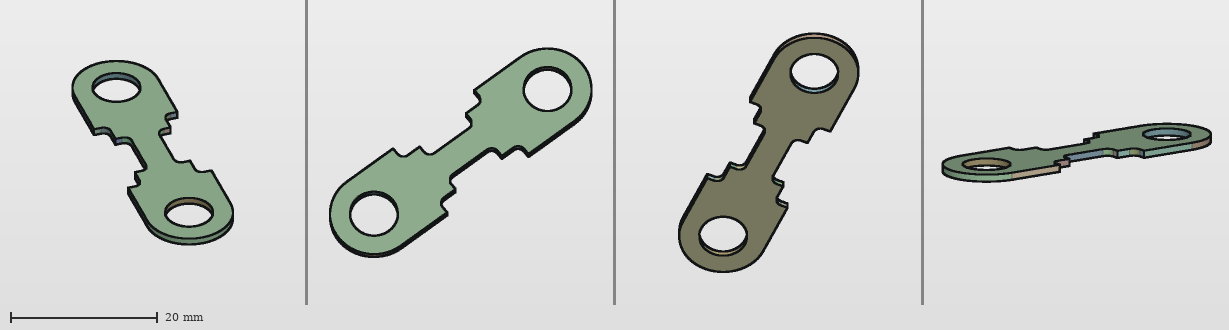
import cadquery as cq

length = 42.0
width = 12.0
thickness = 1.0

hole_diameter = 6.5
hole_spacing = length - width

outer_notch_half_length = 7.0
outer_notch_half_width = 4.0
inner_notch_half_length = 4.0
neck_half_width = 2.0
corner_radius = 1.0


def make_plate():
    """Flat plate with full-round ends and an eyelet in each end."""
    plate = cq.Workplane("XY").slot2D(length, width).extrude(thickness)
    eyelets = (
        cq.Workplane("XY")
        .pushPoints([(-hole_spacing / 2, 0), (hole_spacing / 2, 0)])
        .circle(hole_diameter / 2)
        .extrude(thickness)
    )
    return plate.cut(eyelets)


def make_notch(half_length, half_width, side):
    """Cutter from the notch floor out past the plate edge, with rounded floor corners."""
    depth = width - half_width
    center_y = side * (half_width + depth / 2)
    floor_edges = "|Z and <Y" if side > 0 else "|Z and >Y"
    return (
        cq.Workplane("XY")
        .center(0, center_y)
        .rect(2 * half_length, depth)
        .extrude(thickness)
        .edges(floor_edges)
        .fillet(corner_radius)
    )


result = make_plate()
for side in (-1, 1):
    result = result.cut(make_notch(outer_notch_half_length, outer_notch_half_width, side))
    result = result.cut(make_notch(inner_notch_half_length, neck_half_width, side))